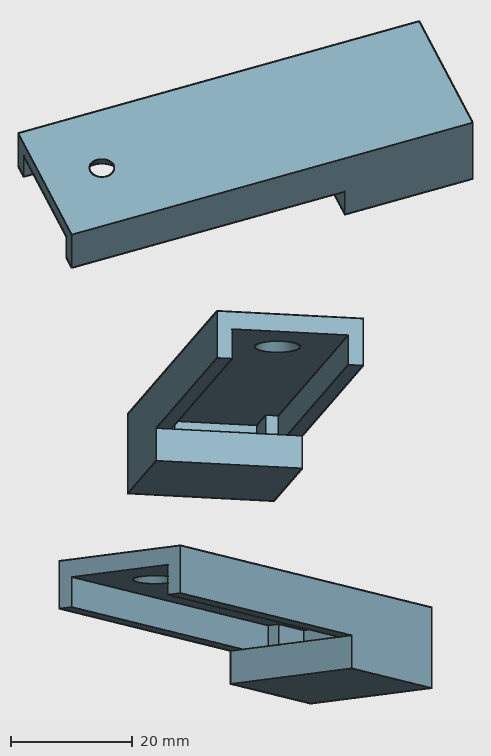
import cadquery as cq

length = 70.5
width = 24.5
height = 13.5

arm_height = 8.0
foot_length = 22.5

top_thickness = 2.95
wall_thickness = 2.55
channel_depth_in_foot = 7.05

ledge_width = 2.1
recess_depth = 7.05

hole_top_diameter = 4.0
hole_bottom_diameter = 7.5
hole_from_front = 10.0

front_y = -length / 2
back_y = length / 2
foot_front_y = back_y - foot_length
arm_bottom = height - arm_height
channel_height = arm_height - top_thickness
channel_width = width - 2 * wall_thickness
channel_end_y = foot_front_y + channel_depth_in_foot


def stepped_body():
    outline = [
        (front_y, height),
        (back_y, height),
        (back_y, 0),
        (foot_front_y, 0),
        (foot_front_y, arm_bottom),
        (front_y, arm_bottom),
    ]
    return cq.Workplane("YZ").polyline(outline).close().extrude(width / 2, both=True)


def slot(slot_width, start_y, end_y):
    """Box-shaped space under the top plate between two Y positions."""
    return (
        cq.Workplane("XY", origin=(0, start_y, arm_bottom))
        .box(slot_width, end_y - start_y, channel_height, centered=(True, False, False))
    )


def channel():
    return slot(channel_width, front_y, channel_end_y)


def recess():
    return slot(channel_width - 2 * ledge_width, channel_end_y, channel_end_y + recess_depth)


def flared_hole():
    return (
        cq.Workplane("XY", origin=(0, front_y + hole_from_front, height - top_thickness))
        .circle(hole_bottom_diameter / 2)
        .workplane(offset=top_thickness)
        .circle(hole_top_diameter / 2)
        .loft(ruled=True)
    )


result = stepped_body().cut(channel()).cut(recess()).cut(flared_hole())